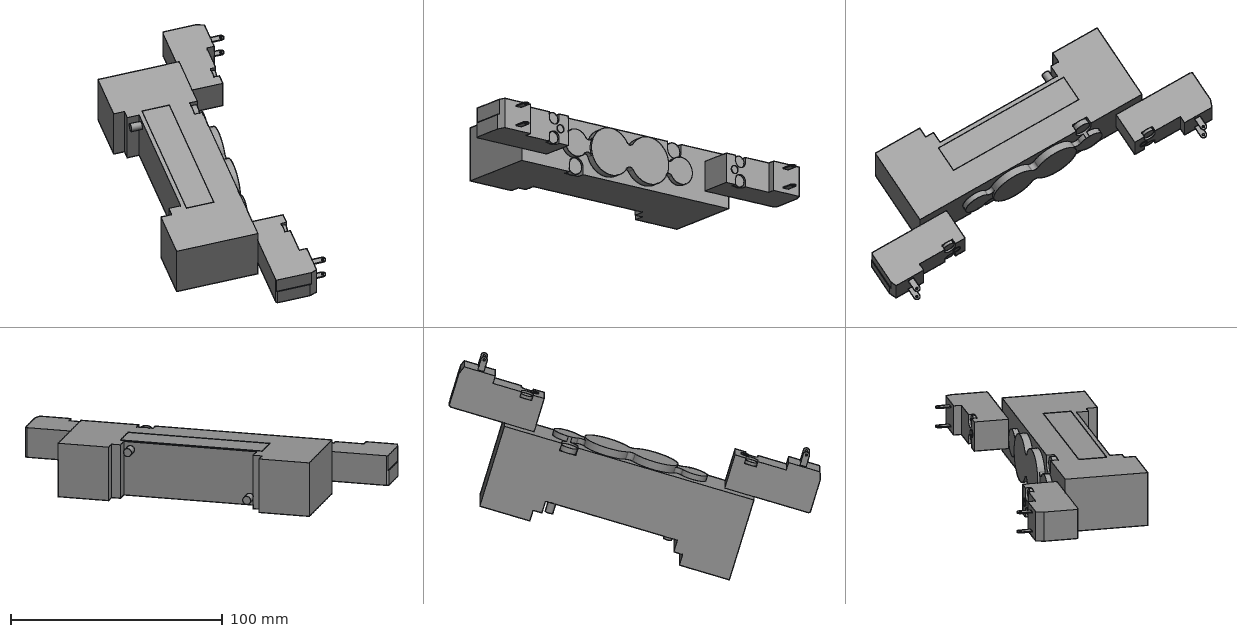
import cadquery as cq
import math


overall_length = 178.2

housing_length = 123.1
housing_depth = 40.3
housing_height = 26.4
recess_length = 65.0
recess_depth = 11.2
step_length = 73.8
step_depth = 5.3
label_length = 69.5
label_start = 13.4
label_end = 26.9
label_recess = 0.2

large_pad_diameter = 23.2
large_pad_x = 11.4
large_pad_height = 3.7
small_pad_diameter = 13.4
small_pad_x = 31.2
small_pad_z = 0.9
small_pad_height = 2.7
neck_fillet = 2.1

screw_x = 29.2
screw_z = 9.5
screw_shank_diameter = 4.0
screw_tip_y = 5.9
screw_head_diameter = 8.0
screw_head_height = 2.7
screw_head_sink = 1.0

pilot_outer_x = overall_length / 2
pilot_inner_x = 47.0
pilot_height = 14.6
pilot_gap = 0.4
pilot_depth = 16.8
pilot_block_depth = 20.5
pilot_block_length = 16.8
corner_cut_x = 1.5
corner_cut_y = 3.7
base_chamfer_x = 0.9
base_chamfer_y = 0.5
end_relief = 0.4

pilot_head_diameter = 5.9
pilot_head_x = 55.5
pilot_head_height = 1.6
pilot_head_sink = 1.0
pilot_head_overhang = 0.4

button_diameter = 4.0
button_x = 51.9
button_height = 0.4

blade_x = 79.5
blade_z = 4.8
blade_width = 3.0
blade_thickness = 0.5
blade_tip_y = 68.0
blade_hole_diameter = 1.0

screw_head_top_y = housing_depth - screw_head_sink
screw_head_base_y = screw_head_top_y - screw_head_height
pilot_base_y = housing_depth + pilot_gap
pilot_face_y = pilot_base_y + pilot_depth
pilot_block_y = pilot_base_y + pilot_block_depth
pilot_head_top_y = pilot_face_y - pilot_head_sink
pilot_head_base_y = pilot_head_top_y - pilot_head_height


def box_between(x_range, y_range, z_range):
    """Box spanning the given (low, high) pairs."""
    sizes = [high - low for low, high in (x_range, y_range, z_range)]
    corner = (x_range[0], y_range[0], z_range[0])
    return cq.Workplane("XY").box(*sizes, centered=False).translate(corner)


def rod(x, z, diameter, y_start, y_end):
    """Cylinder along Y."""
    plane = cq.Workplane("XZ", origin=(0, y_start, 0))
    return plane.center(x, z).circle(diameter / 2).extrude(y_start - y_end)


def head_pocket(x, z, diameter, y_start, y_end):
    """U-shaped pocket for a screw head, round toward Z = 0 and open on the side away from it."""
    opening = math.copysign(diameter, z)
    z_range = sorted((z, z + opening))
    mouth = box_between((x - diameter / 2, x + diameter / 2), (y_start, y_end), z_range)
    return rod(x, z, diameter, y_start, y_end).union(mouth)


def pad_neck(center_a, radius_a, center_b, radius_b, height):
    """Web between two round pads, its sides hollowed by arcs tangent to both pads."""
    span_x = center_b[0] - center_a[0]
    span_z = center_b[1] - center_a[1]
    span = math.hypot(span_x, span_z)
    reach_a = radius_a + neck_fillet
    reach_b = radius_b + neck_fillet
    along = (reach_a**2 - reach_b**2 + span**2) / (2 * span)
    aside = math.sqrt(reach_a**2 - along**2)
    along_x, along_z = span_x / span, span_z / span
    arc_centers = [
        (
            center_a[0] + along * along_x - side * aside * along_z,
            center_a[1] + along * along_z + side * aside * along_x,
        )
        for side in (1, -1)
    ]
    corners = [center_a, arc_centers[0], center_b, arc_centers[1]]
    plane = cq.Workplane("XZ", origin=(0, housing_depth, 0))
    web = plane.polyline(corners).close().extrude(-height)
    arcs = plane.pushPoints(arc_centers).circle(neck_fillet).extrude(-height)
    return web.cut(arcs)


def sealing_pads():
    """All four pads on the mating face, with the necks between them."""
    large_radius = large_pad_diameter / 2
    small_radius = small_pad_diameter / 2
    large_top = housing_depth + large_pad_height
    small_top = housing_depth + small_pad_height
    pads = pad_neck((-large_pad_x, 0), large_radius, (large_pad_x, 0), large_radius, large_pad_height)
    for side in (-1, 1):
        large_center = (side * large_pad_x, 0)
        small_center = (side * small_pad_x, side * small_pad_z)
        pads = pads.union(rod(*large_center, large_pad_diameter, housing_depth, large_top))
        pads = pads.union(rod(*small_center, small_pad_diameter, housing_depth, small_top))
        neck = pad_neck(large_center, large_radius, small_center, small_radius, small_pad_height)
        pads = pads.union(neck)
    return pads


def screw_places():
    """(x, z) of the two mounting screws."""
    return [(-screw_x, screw_z), (screw_x, -screw_z)]


def make_housing():
    half_length = housing_length / 2
    z_range = (-housing_height / 2, housing_height / 2)
    body = box_between((-half_length, half_length), (0, housing_depth), z_range)
    for length, depth in ((step_length, step_depth), (recess_length, recess_depth)):
        body = body.cut(box_between((-length / 2, length / 2), (0, depth), z_range))
    label_z = (z_range[1] - label_recess, z_range[1])
    label = box_between((-label_length / 2, label_length / 2), (label_start, label_end), label_z)
    body = body.cut(label).union(sealing_pads())
    pocket_top_y = housing_depth + large_pad_height
    for x, z in screw_places():
        body = body.cut(head_pocket(x, z, screw_head_diameter, screw_head_base_y, pocket_top_y))
        body = body.cut(rod(x, z, screw_shank_diameter, 0, screw_head_base_y))
    return body


def make_screw(x, z):
    shank = rod(x, z, screw_shank_diameter, screw_tip_y, screw_head_base_y)
    head = rod(x, z, screw_head_diameter, screw_head_base_y, screw_head_top_y)
    return shank.union(head)


def pilot_block():
    """Stepped block of the -X pilot valve."""
    block_inner_x = pilot_outer_x - pilot_block_length
    outline = [
        (-pilot_inner_x, pilot_base_y),
        (-pilot_inner_x, pilot_face_y),
        (-block_inner_x, pilot_face_y),
        (-block_inner_x, pilot_block_y),
        (-pilot_outer_x + corner_cut_x, pilot_block_y),
        (-pilot_outer_x, pilot_block_y - corner_cut_y),
        (-pilot_outer_x, pilot_base_y + base_chamfer_y),
        (-pilot_outer_x + base_chamfer_x, pilot_base_y),
    ]
    return cq.Workplane("XY").polyline(outline).close().extrude(pilot_height / 2, both=True)


def contact_blade(z):
    """Flat contact with a rounded, drilled tip."""
    tip_center_y = blade_tip_y - blade_width / 2
    plane = cq.Workplane("XY", origin=(-blade_x, 0, z - blade_thickness / 2))
    strip = (
        plane.moveTo(-blade_width / 2, pilot_block_y)
        .lineTo(-blade_width / 2, tip_center_y)
        .threePointArc((0, blade_tip_y), (blade_width / 2, tip_center_y))
        .lineTo(blade_width / 2, pilot_block_y)
        .close()
        .extrude(blade_thickness)
    )
    hole = plane.center(0, tip_center_y).circle(blade_hole_diameter / 2).extrude(blade_thickness)
    return strip.cut(hole)


def make_left_pilot():
    body = pilot_block()
    head_z = pilot_height / 2 + pilot_head_overhang - pilot_head_diameter / 2
    for side in (-1, 1):
        place = (-pilot_head_x, side * head_z, pilot_head_diameter)
        body = body.cut(head_pocket(*place, pilot_head_base_y, pilot_face_y))
        body = body.union(rod(*place, pilot_head_base_y, pilot_head_top_y))
        body = body.union(contact_blade(side * blade_z))
    return body.union(rod(-button_x, 0, button_diameter, pilot_face_y, pilot_face_y + button_height))


def make_right_pilot():
    """Mirror image of the -X pilot valve, with the upper half of its outer end set back a little."""
    relief = box_between(
        (pilot_outer_x - end_relief, pilot_outer_x),
        (pilot_base_y, pilot_block_y),
        (0, pilot_height / 2),
    )
    return make_left_pilot().mirror("YZ").cut(relief)


housing = make_housing()
screws = [make_screw(x, z) for x, z in screw_places()]
left_pilot = make_left_pilot()
right_pilot = make_right_pilot()

result = cq.Compound.makeCompound(
    [housing.val(), *[screw.val() for screw in screws], left_pilot.val(), right_pilot.val()]
)